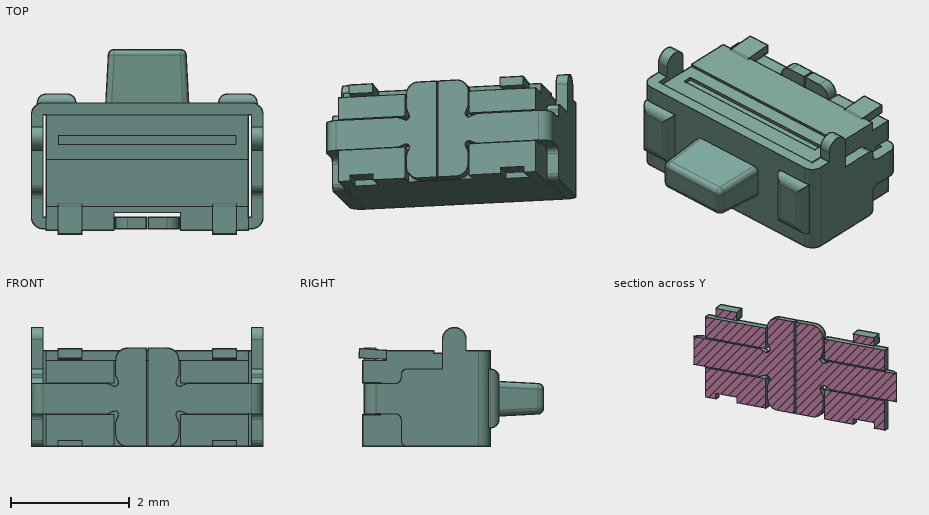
import cadquery as cq
import math


frame_width = 3.9
frame_depth = 2.12
frame_height = 1.61
sheet = 0.2
frame_corner_radius = 0.2

lug_width = 0.4
lug_top = 2.0
lug_center_y = 1.515

wall_front_y = 0.623
shoulder_z = 1.305
arm_bottom_z = 0.548
arm_top_z = 1.058
step_radius = 0.1

flap_span = 1.06
flap_height = 1.655
flap_corner_radius = 0.2
flap_gap = 0.03

relief_radius = 0.07
relief_offset = 0.02
relief_run = 0.14

dimple_width = 0.65
dimple_bottom_z = 0.31
dimple_top_z = 1.30
dimple_center_x = 1.525
dimple_height = 0.15

button_end_y = 3.017
button_end_width = 1.304
button_end_thickness = 0.506
button_center_z = 0.801
button_draft = 3.0
button_radius = 0.1

body_width = 3.4
body_rear_y = frame_depth - sheet
body_front_y = 0.275
block_front_y = -0.025
top_step_y = 1.17
rear_top_z = 1.57
ledge_rear_y = 0.374
ledge_z = 1.446
notch_width = 1.11
slot_clearance = 0.012
groove_length = 2.98
groove_front_y = 1.42
groove_rear_y = 1.573
groove_depth = 0.05

terminal_width = 0.4
terminal_center_x = 1.3
terminal_thickness = 0.155
terminal_front_y = -0.09
terminal_front_bottom_z = 1.49
terminal_tilt = 3.5
terminal_bend_radius = 0.15
terminal_length = ledge_rear_y - terminal_front_y + terminal_bend_radius
pocket_height = 0.1


def block(x_range, y_range, z_range):
    """Box between the given limits."""
    corner = (x_range[0], y_range[0], z_range[0])
    size = [limits[1] - limits[0] for limits in (x_range, y_range, z_range)]
    return cq.Workplane("XY").box(*size, centered=False).translate(corner)


def around(center, width):
    """Lower and upper limits of a width centred on a position."""
    return (center - width / 2, center + width / 2)


def make_side_profile():
    """Side silhouette of the frame, extruded across its full width."""
    lug_front, lug_rear = around(lug_center_y, lug_width)
    lug_straight_top = lug_top - lug_width / 2
    profile = (
        cq.Workplane("YZ")
        .moveTo(frame_depth, 0)
        .lineTo(frame_depth, frame_height)
        .lineTo(lug_rear, frame_height)
        .lineTo(lug_rear, lug_straight_top)
        .threePointArc((lug_center_y, lug_top), (lug_front, lug_straight_top))
        .lineTo(lug_front, shoulder_z)
        .lineTo(wall_front_y, shoulder_z)
        .lineTo(wall_front_y, arm_top_z)
        .lineTo(0, arm_top_z)
        .lineTo(0, arm_bottom_z)
        .lineTo(wall_front_y, arm_bottom_z)
        .lineTo(wall_front_y, 0)
        .close()
        .extrude(frame_width / 2, both=True)
    )
    margin = step_radius / 2
    step_edges = cq.selectors.BoxSelector(
        (-frame_width, wall_front_y - margin, -margin),
        (frame_width, wall_front_y + margin, shoulder_z + margin),
    )
    return profile.edges("|X").edges(step_edges).fillet(step_radius)


def make_relief(side, arm_edge_z, outward):
    """Rounded corner relief, blended by straight flanks into a flap edge and an arm edge."""
    offset = relief_radius / math.sqrt(2)
    points = [
        (0, relief_run),
        (relief_offset - relief_radius, relief_offset),
        (relief_offset - offset, relief_offset - offset),
        (relief_offset, relief_offset - relief_radius),
        (relief_run, 0),
        (relief_run, relief_run),
    ]
    start, arc_start, arc_middle, arc_end, end, outer = [
        (side * (flap_span / 2 + across), arm_edge_z + outward * away) for across, away in points
    ]
    return (
        cq.Workplane("XZ")
        .moveTo(*start)
        .lineTo(*arc_start)
        .threePointArc(arc_middle, arc_end)
        .lineTo(*end)
        .lineTo(*outer)
        .close()
        .extrude(-sheet)
    )


def make_frame():
    ring = (
        cq.Workplane("XY")
        .rect(frame_width, frame_depth)
        .extrude(lug_top)
        .edges("|Z")
        .fillet(frame_corner_radius)
        .cut(cq.Workplane("XY").rect(frame_width - 2 * sheet, frame_depth - 2 * sheet).extrude(lug_top))
        .translate((0, frame_depth / 2, 0))
    )
    frame = ring.intersect(make_side_profile())
    flaps = block(around(0, flap_span), (0, sheet), (0, flap_height))
    frame = frame.union(flaps.edges("|Y").fillet(flap_corner_radius))
    for side in (-1, 1):
        frame = frame.cut(make_relief(side, arm_top_z, 1))
        frame = frame.cut(make_relief(side, arm_bottom_z, -1))
    frame = frame.cut(block(around(0, flap_gap), (0, sheet), (0, flap_height)))
    for side in (-1, 1):
        frame = frame.union(make_dimple(side * dimple_center_x))
    return frame


def make_dimple(center_x):
    """Raised pad on the rear wall; it starts inside the sheet so that it joins the bent corner."""
    pad = block(
        around(center_x, dimple_width),
        (frame_depth - sheet / 2, frame_depth + dimple_height),
        (dimple_bottom_z, dimple_top_z),
    )
    return pad.faces(">Y").edges().fillet(dimple_height)


def make_button():
    """Push button rooted in the rear wall and drafted towards its end."""
    length = button_end_y - body_rear_y
    widening = 2 * length * math.tan(math.radians(button_draft))
    button = (
        cq.Workplane("XZ", origin=(0, body_rear_y, button_center_z))
        .rect(button_end_width + widening, button_end_thickness + widening)
        .extrude(-length, taper=button_draft)
    )
    long_edges = button.edges("not(#Y)")
    return long_edges.fillet(button_radius).faces(">Y").edges().fillet(button_radius)


def make_body():
    full_width = around(0, body_width)
    body = block(full_width, (block_front_y, body_rear_y), (0, frame_height))
    body = body.cut(block(full_width, (top_step_y, body_rear_y), (rear_top_z, frame_height)))
    body = body.cut(block(full_width, (block_front_y, ledge_rear_y), (ledge_z, frame_height)))
    front_recess = (block_front_y, body_front_y)
    body = body.cut(block(around(0, notch_width), front_recess, (0, frame_height)))
    arm_slot = (arm_bottom_z - slot_clearance, arm_top_z + slot_clearance)
    body = body.cut(block(full_width, front_recess, arm_slot))
    groove = block(
        around(0, groove_length),
        (groove_front_y, groove_rear_y),
        (rear_top_z - groove_depth, rear_top_z),
    )
    body = body.cut(groove)
    for side in (-1, 1):
        pocket_width = around(side * terminal_center_x, terminal_width)
        body = body.cut(block(pocket_width, (block_front_y, ledge_rear_y), (0, pocket_height)))
    return body


def make_terminal(center_x):
    """Flat lead rising slightly towards the front, with its rear end bent into the body."""
    lead = block(around(0, terminal_width), (0, terminal_length), (0, terminal_thickness))
    lead = lead.edges(">Y and >Z").fillet(terminal_bend_radius)
    lead = lead.rotate((0, 0, 0), (1, 0, 0), -terminal_tilt)
    return lead.translate((center_x, terminal_front_y, terminal_front_bottom_z))


result = make_frame().union(make_body()).union(make_button())
for side in (-1, 1):
    result = result.union(make_terminal(side * terminal_center_x))